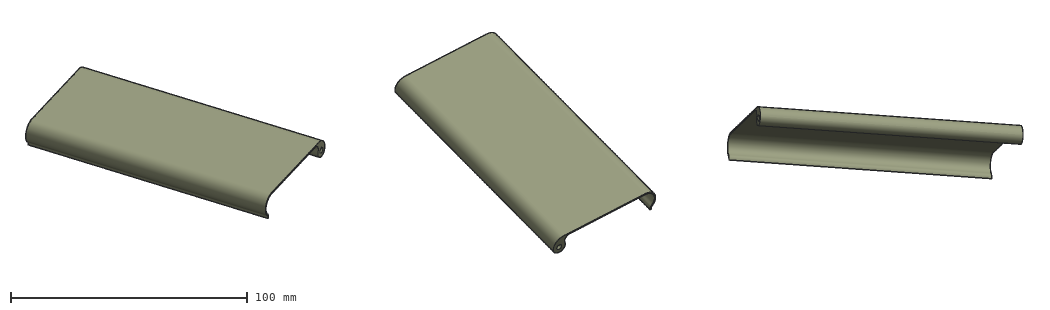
import cadquery as cq
import math

length = 115.0
width = 53.2
height = 11.4
wall = 0.7
edge_radius = 5.5
barrel_diameter = 6.3
screw_hole_diameter = 2.5
web_fillet_radius = 2.8
lip_radius = 1.7
tip_length = 0.6

axis_z = -edge_radius
underside_z = -wall
bottom_z = -height
lip_z = bottom_z + tip_length

barrel_radius = barrel_diameter / 2
back_y = width / 2
back_arc_y = back_y - edge_radius
barrel_y = back_y - barrel_radius

fillet_z = underside_z - web_fillet_radius
barrel_fillet_distance = barrel_radius + web_fillet_radius
fillet_rise = fillet_z - axis_z
fillet_y = barrel_y - math.sqrt(barrel_fillet_distance**2 - fillet_rise**2)
fillet_angle = math.atan2(fillet_rise, fillet_y - barrel_y)

hook_y = -width / 2 + edge_radius
inner_edge_radius = edge_radius - wall
inner_lip_radius = lip_radius + wall
hook_lip_distance = edge_radius + lip_radius
lip_drop = axis_z - lip_z
lip_y = hook_y - math.sqrt(hook_lip_distance**2 - lip_drop**2)
hook_end_angle = math.atan2(-lip_drop, lip_y - hook_y)
lip_start_angle = hook_end_angle + math.pi
lip_middle_angle = lip_start_angle / 2


def polar(center_y, center_z, radius, angle):
    """Point on a circle in the YZ plane; the angle runs from +Y towards +Z."""
    return center_y + radius * math.cos(angle), center_z + radius * math.sin(angle)


def hook_point(radius, angle):
    return polar(hook_y, axis_z, radius, angle)


def lip_point(radius, angle):
    return polar(lip_y, lip_z, radius, angle)


top_angle = math.pi / 2
hook_middle_angle = math.pi
hook_end = hook_point(edge_radius, hook_end_angle)
inner_hook_end = hook_point(inner_edge_radius, hook_end_angle)
barrel_fillet_point = polar(barrel_y, axis_z, barrel_radius, fillet_angle)
fillet_end_angle = fillet_angle - math.pi
fillet_middle_angle = (top_angle + fillet_end_angle) / 2

profile = (
    cq.Workplane("YZ")
    .moveTo(back_arc_y, 0)
    .lineTo(hook_y, 0)
    .threePointArc(hook_point(edge_radius, hook_middle_angle), hook_end)
    .threePointArc(lip_point(lip_radius, lip_middle_angle), lip_point(lip_radius, 0))
    .lineTo(lip_y + lip_radius, bottom_z)
    .lineTo(lip_y + inner_lip_radius, bottom_z)
    .lineTo(*lip_point(inner_lip_radius, 0))
    .threePointArc(lip_point(inner_lip_radius, lip_middle_angle), inner_hook_end)
    .threePointArc(hook_point(inner_edge_radius, hook_middle_angle), (hook_y, underside_z))
    .lineTo(fillet_y, underside_z)
    .threePointArc(polar(fillet_y, fillet_z, web_fillet_radius, fillet_middle_angle), barrel_fillet_point)
    .threePointArc((barrel_y, axis_z - barrel_radius), (back_y, axis_z))
    .threePointArc(polar(back_arc_y, axis_z, edge_radius, top_angle / 2), (back_arc_y, 0))
    .close()
)
cover = profile.extrude(length / 2, both=True)

screw_hole = (
    cq.Workplane("YZ")
    .center(barrel_y, axis_z)
    .circle(screw_hole_diameter / 2)
    .extrude(length / 2, both=True)
)

result = cover.cut(screw_hole)